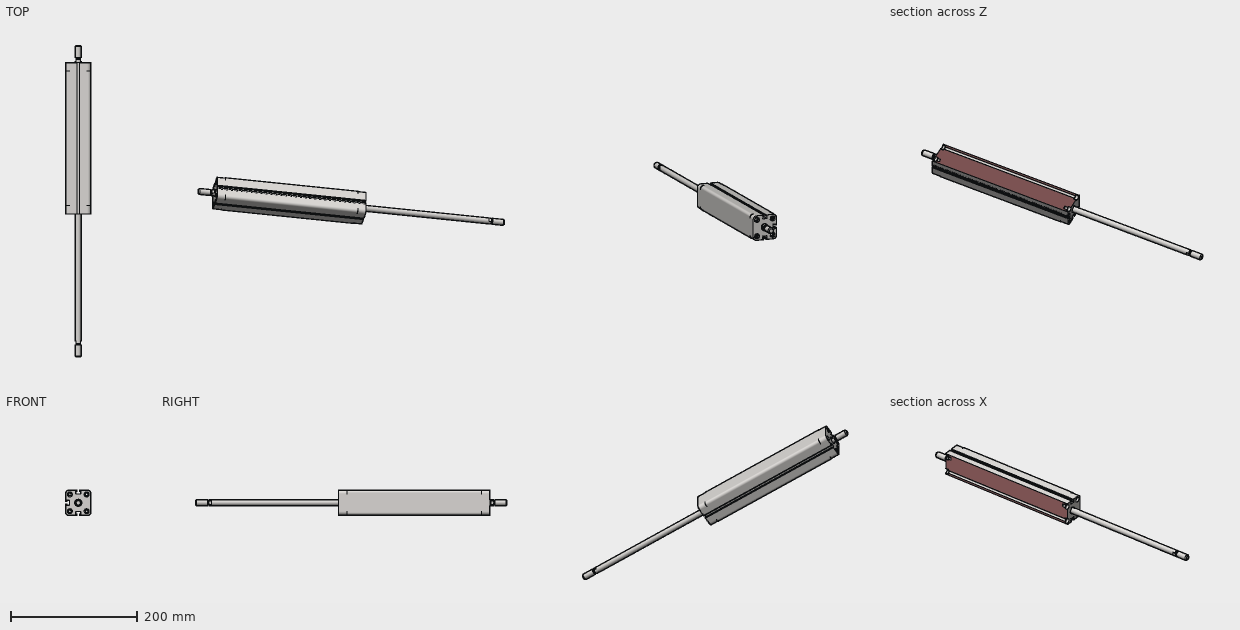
import cadquery as cq

TOTAL_LENGTH = 494.5
FRONT_REACH = 227.0
REAR_REACH = 27.0
BODY_LENGTH = TOTAL_LENGTH - FRONT_REACH - REAR_REACH
FRONT_FACE = 0.0
REAR_FACE = BODY_LENGTH

BODY_WIDTH = 40.0
CAP_LENGTH = 13.5
CAP_CORNER_RADIUS = 6.0
BARREL_CORNER_RADIUS = 4.5

SLOT_MOUTH = 4.5
SLOT_WIDTH = 7.5
SLOT_DEPTH = 6.0
SLOT_LIP = 2.0

HOLE_OFFSET = 13.5
HOLE_DIAMETER = 4.15
COUNTERBORE_DIAMETER = 8.0
COUNTERBORE_DEPTH = 5.0
BLIND_HOLE_DEPTH = 10.0

ROD_DIAMETER = 10.0
ROD_CLEARANCE_DIAMETER = 11.5
ROD_CLEARANCE_DEPTH = 2.0
THREAD_LENGTH = 19.5
THREAD_CHAMFER = 1.5
THREAD_CHAMFER_LENGTH = 2.0
NECK_DIAMETER = 7.5
NECK_LENGTH = 1.5
SHOULDER_CONE_LENGTH = 1.25
FLATS_LENGTH = 5.0
ACROSS_FLATS = 8.0


def rounded_bar(start, length, corner_radius):
    """Square bar along +Y with rounded long edges."""
    bar = cq.Workplane("XY").box(BODY_WIDTH, length, BODY_WIDTH, centered=(True, False, True))
    return bar.edges("|Y").fillet(corner_radius).translate((0, start, 0))


def t_slot(angle):
    """T-slot cutter along the whole body; angle 0 opens upwards, turning about Y."""
    top = BODY_WIDTH / 2
    mouth = cq.Workplane("XY").box(SLOT_MOUTH, BODY_LENGTH, SLOT_DEPTH, centered=(True, False, False))
    pocket_height = SLOT_DEPTH - SLOT_LIP
    pocket = cq.Workplane("XY").box(SLOT_WIDTH, BODY_LENGTH, pocket_height, centered=(True, False, False))
    cutter = mouth.union(pocket).translate((0, FRONT_FACE, top - SLOT_DEPTH))
    return cutter.rotate((0, 0, 0), (0, 1, 0), angle)


def cylinder(x, z, start, length, diameter):
    """Solid cylinder along +Y."""
    return cq.Workplane("XY").add(
        cq.Solid.makeCylinder(diameter / 2, length, cq.Vector(x, start, z), cq.Vector(0, 1, 0))
    )


def make_body():
    """Barrel between two end caps, with T-slots, corner holes and rod clearance bores."""
    barrel_length = BODY_LENGTH - 2 * CAP_LENGTH
    body = rounded_bar(FRONT_FACE + CAP_LENGTH, barrel_length, BARREL_CORNER_RADIUS)
    for cap_start in (FRONT_FACE, REAR_FACE - CAP_LENGTH):
        body = body.union(rounded_bar(cap_start, CAP_LENGTH, CAP_CORNER_RADIUS))
    for angle in (0, 180, -90):
        body = body.cut(t_slot(angle))
    for x in (-HOLE_OFFSET, HOLE_OFFSET):
        for z in (-HOLE_OFFSET, HOLE_OFFSET):
            hole_depth = BODY_LENGTH if x == z else BLIND_HOLE_DEPTH
            for depth, diameter in ((hole_depth, HOLE_DIAMETER), (COUNTERBORE_DEPTH, COUNTERBORE_DIAMETER)):
                for start in (FRONT_FACE, REAR_FACE - depth):
                    body = body.cut(cylinder(x, z, start, depth, diameter))
    for start in (FRONT_FACE, REAR_FACE - ROD_CLEARANCE_DEPTH):
        body = body.cut(cylinder(0, 0, start, ROD_CLEARANCE_DEPTH, ROD_CLEARANCE_DIAMETER))
    return body


def make_rod():
    """Rod turned about Y, then milled with wrench flats behind each threaded end."""
    rod_radius = ROD_DIAMETER / 2
    neck_radius = NECK_DIAMETER / 2
    front_tip = FRONT_FACE - FRONT_REACH
    rear_tip = REAR_FACE + REAR_REACH
    shoulder = THREAD_LENGTH + NECK_LENGTH
    end_profile = [
        (0, 0),
        (rod_radius - THREAD_CHAMFER, 0),
        (rod_radius, THREAD_CHAMFER_LENGTH),
        (rod_radius, THREAD_LENGTH),
        (neck_radius, THREAD_LENGTH),
        (neck_radius, shoulder),
        (rod_radius, shoulder + SHOULDER_CONE_LENGTH),
    ]
    front = [(r, front_tip + d) for r, d in end_profile]
    rear = [(r, rear_tip - d) for r, d in reversed(end_profile)]
    rod = cq.Workplane("XY").polyline(front + rear).close().revolve(360, (0, 0, 0), (0, 1, 0))

    flat_depth = (ROD_DIAMETER - ACROSS_FLATS) / 2
    flat_offset = (ACROSS_FLATS + flat_depth) / 2
    flat = cq.Workplane("XY").box(flat_depth, FLATS_LENGTH, ROD_DIAMETER)
    for flat_center in (front_tip + shoulder + FLATS_LENGTH / 2, rear_tip - shoulder - FLATS_LENGTH / 2):
        for side in (-1, 1):
            rod = rod.cut(flat.translate((side * flat_offset, flat_center, 0)))
    return rod


result = make_body().union(make_rod())